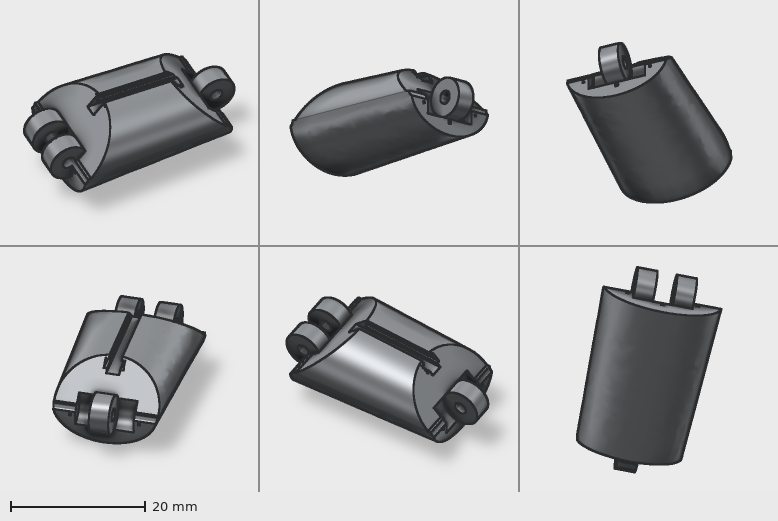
import cadquery as cq

overall_length = 32.0
knuckle_diameter = 6.0
pin_diameter = 2.0
knuckle_width = 3.0
pin_overhang = 0.5

knuckle_radius = knuckle_diameter / 2
axis_y = overall_length / 2 - knuckle_radius
face_y = axis_y - pin_overhang
body_length = 2 * face_y

front_width = 18.0
front_height = 13.0
back_width = 16.0
back_height = 11.0
top_slope = (front_height - back_height) / 2 / body_length

bevel_inset = 1.0
bevel_y = face_y - bevel_inset
cut_size = 2 * overall_length

slot_width = 2.0
slot_depth = 2.0
groove_width = 3.0
groove_height = 1.0
groove_rise = 0.5
groove_front_y = -5.5

center_cord_diameter = 0.5
center_cord_z = -3.5
side_cord_diameter = 0.3
side_mouth_diameter = 0.5
side_mouth_depth = 1.0
side_cord_x = 5.3
side_cord_z = -1.4


def cylinder_x(diameter, width, center_x, y):
    """Cylinder along X, centred on a hinge axis."""
    plane = cq.Workplane("YZ", origin=(center_x, y, 0))
    return plane.circle(diameter / 2).extrude(width / 2, both=True)


def tapered_body():
    back = cq.Workplane("XZ", origin=(0, face_y, 0)).ellipse(back_width / 2, back_height / 2)
    return back.workplane(offset=body_length).ellipse(front_width / 2, front_height / 2).loft()


def bevel(end):
    """Material above the hinge plane and outside the 45 degree face at one end."""
    profile = [
        (end * bevel_y, 0),
        (end * (bevel_y + cut_size), 0),
        (end * (bevel_y + cut_size), cut_size),
        (end * (bevel_y - cut_size), cut_size),
    ]
    return cq.Workplane("YZ").polyline(profile).close().extrude(cut_size / 2, both=True)


def sloped_channel(width, rise, height, start_y):
    """Channel parallel to the body top, from start_y out through the back."""
    def floor_z(y):
        return front_height / 2 - slot_depth + rise - top_slope * (y + face_y)

    profile = [
        (start_y, floor_z(start_y)),
        (face_y, floor_z(face_y)),
        (face_y, floor_z(face_y) + height),
        (start_y, floor_z(start_y) + height),
    ]
    return cq.Workplane("YZ").polyline(profile).close().extrude(width / 2, both=True)


def cord_hole(x, z, diameter, depth):
    """Round hole running back from the front face."""
    plane = cq.Workplane("XZ", origin=(x, -face_y, z))
    return plane.circle(diameter / 2).extrude(-depth)


body = tapered_body()
for end in (-1, 1):
    body = body.cut(bevel(end))

body = body.cut(sloped_channel(slot_width, 0, 2 * slot_depth, -face_y))
body = body.cut(sloped_channel(groove_width, groove_rise, groove_height, groove_front_y))

for center_x in (-knuckle_width, 0, knuckle_width):
    knuckle_y, clearance_y = (axis_y, -axis_y) if center_x == 0 else (-axis_y, axis_y)
    body = body.cut(cylinder_x(knuckle_diameter, knuckle_width, center_x, clearance_y))
    body = body.union(cylinder_x(knuckle_diameter, knuckle_width, center_x, knuckle_y))

for pin_y in (-axis_y, axis_y):
    body = body.cut(cylinder_x(pin_diameter, front_width, 0, pin_y))

body = body.cut(cord_hole(0, center_cord_z, center_cord_diameter, body_length))
for side in (-1, 1):
    side_x = side * side_cord_x
    body = body.cut(cord_hole(side_x, side_cord_z, side_cord_diameter, body_length))
    body = body.cut(cord_hole(side_x, side_cord_z, side_mouth_diameter, side_mouth_depth))

result = body